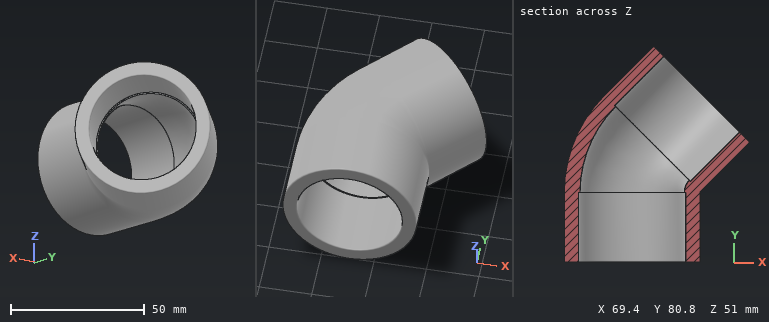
import cadquery as cq

outer_diameter = 51.0
socket_diameter = 40.0
bend_bore_diameter = 39.0
socket_length = 26.1
mouth_edge_radius = 0.5
bend_angle = 45
bend_radius = 26.0

outer_radius = outer_diameter / 2
socket_radius = socket_diameter / 2
bend_bore_radius = bend_bore_diameter / 2


def make_socket():
    """Socket along -Y from the bend plane, revolved about the Y axis, with both mouth edges rounded."""
    return (
        cq.Workplane("XY")
        .moveTo(socket_radius, 0)
        .lineTo(outer_radius, 0)
        .lineTo(outer_radius, -socket_length)
        .lineTo(socket_radius, -socket_length)
        .close()
        .revolve(360, (0, 0, 0), (0, 1, 0))
        .faces("<Y")
        .edges()
        .fillet(mouth_edge_radius)
    )


def make_bend():
    """Ring section turned about a Z axis just outside the wall, with a bore narrower than the sockets."""
    return (
        cq.Workplane("XZ")
        .circle(outer_radius)
        .circle(bend_bore_radius)
        .revolve(bend_angle, (bend_radius, 0, 0), (bend_radius, -1, 0))
    )


inlet_socket = make_socket()
outlet_socket = make_socket().mirror("XZ").rotate((bend_radius, 0, 0), (bend_radius, 0, 1), -bend_angle)

result = make_bend().union(inlet_socket).union(outlet_socket)